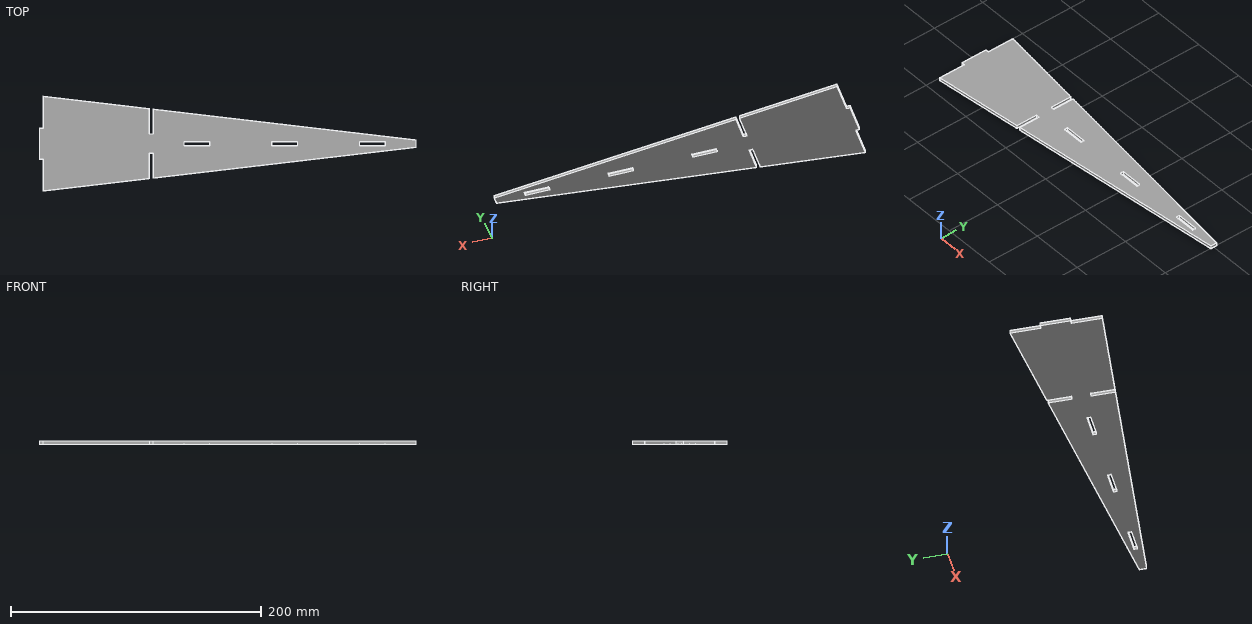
import cadquery as cq

length = 301.0
root_width = 76.0
tip_width = 6.0
thickness = 3.0

tab_width = 25.0
tab_depth = thickness

notch_start = 88.0
notch_width = thickness
notch_gap = 15.7

slot_length = 20.5
slot_width = thickness
first_slot_center = 125.8
slot_pitch = 70.0
slot_count = 3


def tapered_plate():
    """Symmetric plate narrowing from the root towards +X."""
    outline = [
        (tab_depth, -root_width / 2),
        (length, -tip_width / 2),
        (length, tip_width / 2),
        (tab_depth, root_width / 2),
    ]
    return cq.Workplane("XY").polyline(outline).close().extrude(thickness)


def bar(start_x, center_y, size_x, size_y):
    """Rectangular block through the full thickness."""
    return (
        cq.Workplane("XY")
        .box(size_x, size_y, thickness, centered=(False, True, False))
        .translate((start_x, center_y, 0))
    )


result = tapered_plate().union(bar(0, 0, tab_depth, tab_width))

notch_reach = (root_width - notch_gap) / 2
for side in (-1, 1):
    notch_center = side * (notch_gap + notch_reach) / 2
    result = result.cut(bar(notch_start, notch_center, notch_width, notch_reach))

for index in range(slot_count):
    slot_start = first_slot_center + index * slot_pitch - slot_length / 2
    result = result.cut(bar(slot_start, 0, slot_length, slot_width))